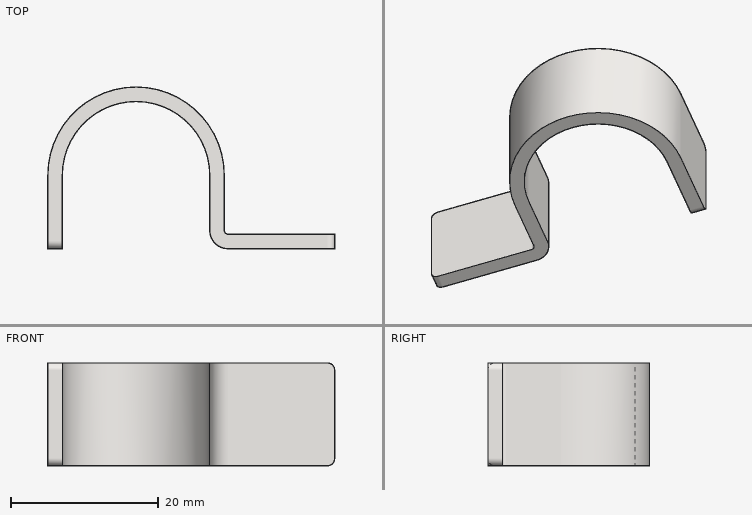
import cadquery as cq

thickness = 2.0
strip_width = 14.0
inner_radius = 10.0
leg_length = 10.0
overall_length = 39.0
bend_inner_radius = 0.5
corner_radius = 1.0

outer_radius = inner_radius + thickness
bend_outer_radius = bend_inner_radius + thickness
base_y = -leg_length
flange_top_y = base_y + thickness
flange_end_x = overall_length - outer_radius
bend_center_x = outer_radius + bend_inner_radius
bend_center_y = flange_top_y + bend_inner_radius


def make_strip():
    """Half-round saddle with a free leg on the left and a flanged leg on the right."""
    return (
        cq.Workplane("XY")
        .workplane(offset=-strip_width / 2)
        .moveTo(-outer_radius, base_y)
        .lineTo(-outer_radius, 0)
        .threePointArc((0, outer_radius), (outer_radius, 0))
        .lineTo(outer_radius, bend_center_y)
        .radiusArc((bend_center_x, flange_top_y), -bend_inner_radius)
        .lineTo(flange_end_x, flange_top_y)
        .lineTo(flange_end_x, base_y)
        .lineTo(bend_center_x, base_y)
        .radiusArc((inner_radius, bend_center_y), bend_outer_radius)
        .lineTo(inner_radius, 0)
        .threePointArc((0, inner_radius), (-inner_radius, 0))
        .lineTo(-inner_radius, base_y)
        .close()
        .extrude(strip_width)
    )


def round_free_ends(strip):
    """Round the upper and lower corners of the free leg and of the flange."""
    leg_rounded = strip.edges("|X").edges("<X").fillet(corner_radius)
    return leg_rounded.faces(">X").edges("|Y").fillet(corner_radius)


result = round_free_ends(make_strip())